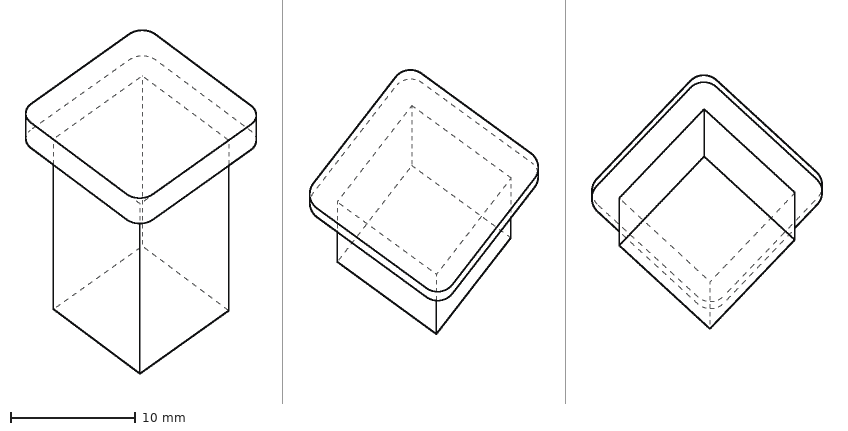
import cadquery as cq

total_height = 23.0
head_width = 14.0
head_thickness = 3.0
head_corner_radius = head_thickness / 2
shank_width = 10.0
shank_length = total_height - head_thickness

shank = cq.Workplane("XY").rect(shank_width, shank_width).extrude(shank_length)

head = (
    cq.Workplane("XY")
    .workplane(offset=shank_length)
    .rect(head_width, head_width)
    .extrude(head_thickness)
    .edges("|Z")
    .fillet(head_corner_radius)
)

result = shank.union(head)